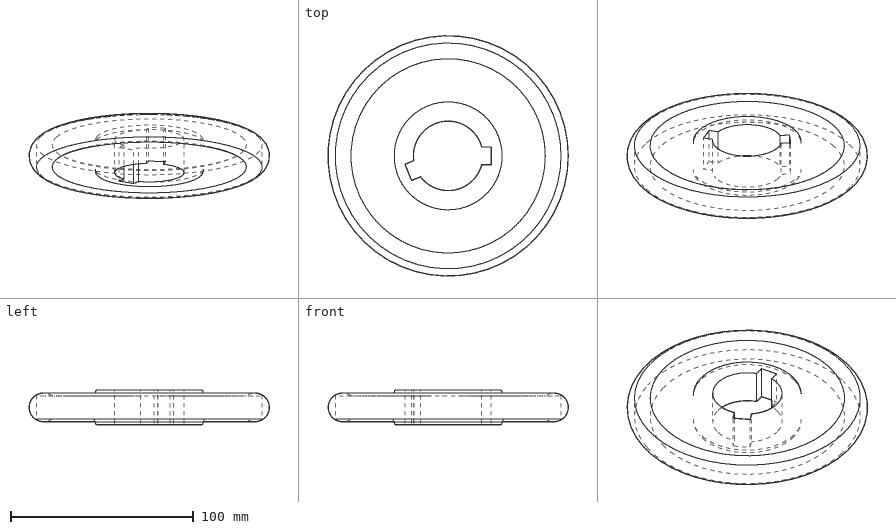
import cadquery as cq
import math

outer_diameter = 131.7
rim_section_radius = 7.9
rim_centre_radius = outer_diameter / 2 - rim_section_radius

hub_width = 19.1
hub_diameter = 59.1
hub_edge_radius = 1.0
web_diameter = 123.6
web_exposed_radius = 53.2
hub_fillet_radius = 2.0

bore_diameter = 37.9
keyway_width = 9.5
keyway_depth_radius = 23.6
keyway_angles = (0.0, 202.5)

web_exposed_inset = rim_centre_radius - web_exposed_radius
web_thickness = 2 * math.sqrt(rim_section_radius**2 - web_exposed_inset**2)


def centred_disc(diameter, thickness):
    return cq.Workplane("XY").cylinder(thickness, diameter / 2)


def make_rim():
    """Round ring with a slot, open towards the axis, that receives the edge of the web."""
    ring = cq.Workplane("XY").add(cq.Solid.makeTorus(rim_centre_radius, rim_section_radius))
    return ring.cut(centred_disc(web_diameter, web_thickness))


def make_keyway(angle):
    slot = cq.Workplane("XY").box(keyway_depth_radius, keyway_width, hub_width, centered=(False, True, True))
    return slot.rotate((0, 0, 0), (0, 0, 1), angle)


def make_hub_fillet():
    """Ring with a concave quarter-round between the upper web face and the hub wall."""
    hub_radius = hub_diameter / 2
    web_face = web_thickness / 2
    fillet_top = web_face + hub_fillet_radius
    fillet_edge = hub_radius + hub_fillet_radius
    arc_offset = hub_fillet_radius * (1 - math.sqrt(0.5))
    return (
        cq.Workplane("XZ")
        .moveTo(hub_radius, web_face)
        .lineTo(fillet_edge, web_face)
        .threePointArc((hub_radius + arc_offset, web_face + arc_offset), (hub_radius, fillet_top))
        .close()
        .revolve(360, (0, 0, 0), (0, 1, 0))
    )


def make_wheel():
    web = centred_disc(web_diameter, web_thickness)
    hub = centred_disc(hub_diameter, hub_width).faces("|Z").edges().fillet(hub_edge_radius)
    upper_fillet = make_hub_fillet()
    wheel = web.union(hub).union(upper_fillet).union(upper_fillet.mirror("XY"))
    wheel = wheel.cut(centred_disc(bore_diameter, hub_width))
    for angle in keyway_angles:
        wheel = wheel.cut(make_keyway(angle))
    return wheel


rim = make_rim()
wheel = make_wheel()

result = cq.Compound.makeCompound([wheel.val(), rim.val()])